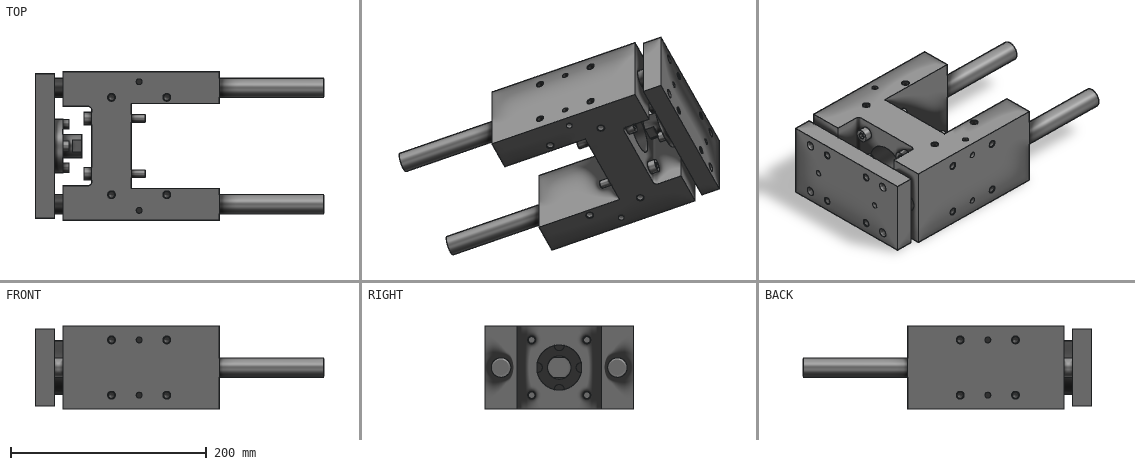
import cadquery as cq
import math


plate_thickness = 19.5
plate_width = 148
plate_height = 79

housing_gap = 8.5
housing_length = 160
housing_width = 152
housing_height = 85
front_pocket_depth = 29.5
front_pocket_width = 81
front_pocket_radius = 4
web_thickness = 40.5
rear_pocket_width = 86.5
web_bore_diameter = 46

housing_front = plate_thickness + housing_gap
housing_rear = housing_front + housing_length
web_front = housing_front + front_pocket_depth
web_rear = web_front + web_thickness

rod_diameter = 20
rod_spacing = 119
rod_end = 295
rod_chamfer_length = 2
rod_chamfer_depth = 0.5

screw_spacing = 56.5

tap_diameter = 6.65
tap_rim_diameter = 8
tap_depth = 16
drill_point_angle = 140
dowel_diameter = 6
dowel_depth = 8
mount_center_x = 106
top_tap_spacing = 99.5
top_dowel_spacing = 131.5

clearance_diameter = 9
clearance_spacing = 105
plate_dowel_diameter = 6
plate_dowel_spacing = 81.5

web_head_diameter = 13
web_head_height = 8
web_shank_diameter = 8
web_shank_overhang = 14.5
web_shank_chamfer = 0.6
socket_across_flats = 6
socket_depth = 4

flange_diameter = 55
flange_thickness = housing_gap
flange_screw_circle = 44.5
flange_head_diameter = 10
flange_head_height = 6.5
flange_screw_count = 4
stud_diameter = 24
stud_length = 19.5
flat_length = 9.5
flat_across = 20.5


def grid(spacing_y, spacing_z):
    """Four (y, z) points at the corners of a centred rectangle."""
    return [(side_y * spacing_y / 2, side_z * spacing_z / 2) for side_y in (-1, 1) for side_z in (-1, 1)]


def pair(spacing_y):
    """Two (y, z) points on the Y axis, mirrored about the origin."""
    return [(-spacing_y / 2, 0), (spacing_y / 2, 0)]


def x_cylinder(diameter, x_start, x_end, points):
    """Cylinders along X through the given (y, z) points."""
    plane = cq.Workplane("YZ", origin=(x_start, 0, 0))
    return plane.pushPoints(points).circle(diameter / 2).extrude(x_end - x_start)


def tapped_hole():
    """Blind drilled hole with a countersunk rim, entering along -Z from the origin."""
    radius = tap_diameter / 2
    rim_radius = tap_rim_diameter / 2
    point_length = radius / math.tan(math.radians(drill_point_angle / 2))
    profile = [
        (0, 0),
        (rim_radius, 0),
        (radius, radius - rim_radius),
        (radius, -tap_depth),
        (0, -tap_depth - point_length),
    ]
    return cq.Workplane("XZ").polyline(profile).close().revolve(360, (0, 0), (0, 1))


def dowel_hole():
    """Flat-bottomed pin hole, entering along -Z from the origin."""
    return cq.Workplane("XY").circle(dowel_diameter / 2).extrude(-dowel_depth)


def face_holes(tap_spacing, dowel_spacing, face_distance):
    """Tapped and dowel holes of one outer face, lying at the given distance above the axis."""
    holes = cq.Workplane("XY")
    for side in (-1, 1):
        for end in (-1, 1):
            tap_x = mount_center_x + end * screw_spacing / 2
            holes = holes.add(tapped_hole().translate((tap_x, side * tap_spacing / 2, face_distance)))
        holes = holes.add(dowel_hole().translate((mount_center_x, side * dowel_spacing / 2, face_distance)))
    return holes


def web_screws():
    """Heads and shank ends of the socket head screws that stand out of the web."""
    points = grid(screw_spacing, screw_spacing)
    head_front = web_front - web_head_height
    socket_circle = socket_across_flats / math.cos(math.pi / 6)
    sockets = (
        cq.Workplane("YZ", origin=(head_front, 0, 0))
        .pushPoints(points)
        .polygon(6, socket_circle)
        .extrude(socket_depth)
    )
    heads = x_cylinder(web_head_diameter, head_front, web_front, points).cut(sockets)
    shanks = x_cylinder(web_shank_diameter, web_rear, web_rear + web_shank_overhang, points)
    shanks = shanks.faces(">X").chamfer(web_shank_chamfer)
    return heads, shanks


def make_housing():
    """H-shaped block with its rod bores, mounting holes and web screws."""
    block = cq.Workplane("XY").box(housing_length, housing_width, housing_height, centered=(False, True, True))
    block = block.translate((housing_front, 0, 0))

    front_pocket = (
        cq.Workplane("XY")
        .box(front_pocket_depth, front_pocket_width, housing_height, centered=(False, True, True))
        .edges("|Z and >X")
        .fillet(front_pocket_radius)
        .translate((housing_front, 0, 0))
    )
    rear_pocket = (
        cq.Workplane("XY")
        .box(housing_rear - web_rear, rear_pocket_width, housing_height, centered=(False, True, True))
        .translate((web_rear, 0, 0))
    )
    housing = block.cut(front_pocket).cut(rear_pocket)

    housing = housing.cut(x_cylinder(web_bore_diameter, web_front, web_rear, [(0, 0)]))
    housing = housing.cut(x_cylinder(rod_diameter, housing_front, housing_rear, pair(rod_spacing)))

    top_holes = face_holes(top_tap_spacing, top_dowel_spacing, housing_height / 2)
    side_holes = face_holes(screw_spacing, screw_spacing, housing_width / 2)
    for turn, holes in ((0, top_holes), (180, top_holes), (90, side_holes), (-90, side_holes)):
        for hole in holes.vals():
            housing = housing.cut(cq.Workplane(hole.rotate((0, 0, 0), (1, 0, 0), turn)))

    for screw_ends in web_screws():
        housing = housing.union(screw_ends)
    return housing


def make_plate():
    """Front plate with clearance, dowel and tapped holes."""
    plate = cq.Workplane("XY").box(plate_thickness, plate_width, plate_height, centered=(False, True, True))
    plate = plate.cut(x_cylinder(clearance_diameter, 0, plate_thickness, grid(clearance_spacing, screw_spacing)))
    plate = plate.cut(x_cylinder(plate_dowel_diameter, 0, plate_thickness, pair(plate_dowel_spacing)))
    for y, z in grid(screw_spacing, screw_spacing):
        tapped_entry = tapped_hole().rotate((0, 0, 0), (0, 1, 0), -90)
        plate = plate.cut(tapped_entry.translate((0, y, z)))
    plate = plate.cut(x_cylinder(tap_diameter, 0, plate_thickness, grid(screw_spacing, screw_spacing)))
    return plate


def make_rods():
    """Two guide rods behind the plate, chamfered at the free end."""
    rods = x_cylinder(rod_diameter, plate_thickness, rod_end, pair(rod_spacing))
    return rods.faces(">X").edges().chamfer(rod_chamfer_depth, rod_chamfer_length)


def make_coupling():
    """Flange with its screw heads and the stud with two wrench flats."""
    flange_rear = plate_thickness + flange_thickness
    stud_end = flange_rear + stud_length
    flange = x_cylinder(flange_diameter, plate_thickness, flange_rear, [(0, 0)])

    stud = x_cylinder(stud_diameter, flange_rear, stud_end, [(0, 0)])
    for side in (-1, 1):
        flat_cut = cq.Workplane("XY").box(flat_length, stud_diameter, stud_diameter)
        flat_center_z = side * (flat_across + stud_diameter) / 2
        stud = stud.cut(flat_cut.translate((stud_end - flat_length / 2, 0, flat_center_z)))

    heads = (
        cq.Workplane("YZ", origin=(flange_rear, 0, 0))
        .polarArray(flange_screw_circle / 2, 0, 360, flange_screw_count)
        .circle(flange_head_diameter / 2)
        .extrude(flange_head_height)
    )
    return flange.union(stud).union(heads)


housing = make_housing()
slide = make_plate().union(make_rods()).union(make_coupling())

result = cq.Compound.makeCompound([housing.val(), slide.val()])